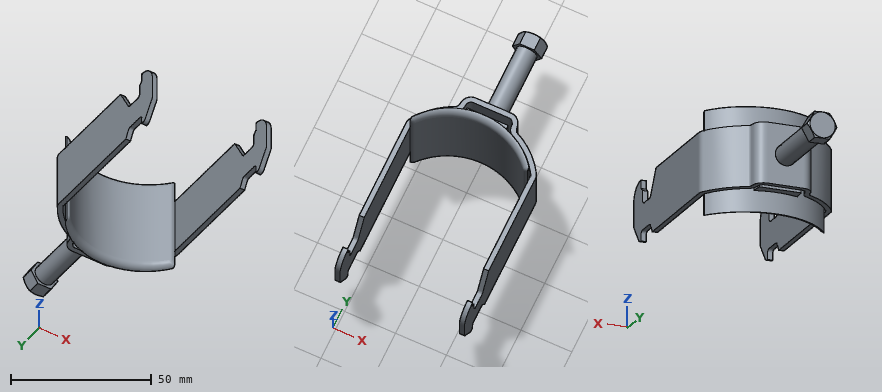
import cadquery as cq
import math

LENGTH = 113.0

STRAP_THICKNESS = 2.0
STRAP_WIDTH = 51.0
STRAP_HEIGHT = 23.2
STRAP_TOP = 79.2
HUMP_BEND_RADIUS = 2.0
FOOT_BEND_RADIUS = 3.6
LEG_BEND_RADIUS = 2.0
BOW_RADIUS = 27.2
BOW_CENTER_Y = 46.5
HUMP_HALF_WIDTH = 8.7
HUMP_LEAN = 10.0

HOOK_INNER_Y = 6.9
HOOK_NOSE_RADIUS = 6.8
NOTCH_STEP_Y = 8.2
NOTCH_STEP_Z = 7.1
NOTCH_CHAMFER = 1.2
NOTCH_FLOOR_Z = 2.0
NOTCH_RADIUS = 1.4
NOTCH_LEG_Y = 15.1
TOP_SHOULDER_Y = 20.5
BOTTOM_NOTCH_Z = -7.9
BOTTOM_NOTCH_Y = 15.0
BOTTOM_SHOULDER_Y = 17.1
BOTTOM_NOTCH_RADIUS = 1.1
HEEL_START_Z = -4.2
HEEL_END_Y = 5.2
HEEL_TIP_RADIUS = 1.8
HEEL_RADIUS = 2.3

SHANK_DIAMETER = 8.0
HEAD_HEIGHT = 5.6
HEAD_CORNERS = 11.5
HEAD_CHAMFER_WIDTH = 0.9
HEAD_CHAMFER_HEIGHT = 0.6

SADDLE_WIDTH = 46.2
SADDLE_HEIGHT = 40.0
SADDLE_CENTER_Z = 0.5
SADDLE_CROWN_Y = 71.1
SADDLE_OUTER_RADIUS = 28.8
SADDLE_THICKNESS = 2.7
SADDLE_INNER_RADIUS = 28.4
SADDLE_END_Y = 58.3
SADDLE_RIM_RADIUS = 2.6
SADDLE_END_RADIUS = 1.4

BLOCK_TOP_WIDTH = 16.2
BLOCK_BASE_WIDTH = 16.8
BLOCK_HEIGHT = 23.7
BLOCK_TOP = 74.1
BLOCK_BASE = 69.5


def prism(outline, height, center_z):
    """Extrude an XY outline along Z, centred on center_z."""
    return outline.extrude(height).translate((0, 0, center_z - height / 2))


def cylinder_z(radius, center_y, height, center_z):
    return prism(cq.Workplane("XY").center(0, center_y).circle(radius), height, center_z)


def cylinder_y(radius, start, end):
    return cq.Workplane("XZ", origin=(0, start, 0)).circle(radius).extrude(start - end)


def round_upright(solid, x, y, radius):
    """Fillet the Z-parallel edge that is nearest to (x, y)."""
    nearest = cq.selectors.NearestToPointSelector((x, y, 0))
    return solid.edges("|Z").edges(nearest).fillet(radius)


def strap_form():
    """Solid that fills the inside of the bent strap, running past the leg tips."""
    half_inside = STRAP_WIDTH / 2 - STRAP_THICKNESS
    hump_top = STRAP_TOP - STRAP_THICKNESS
    hump_base_half = HUMP_HALF_WIDTH + (hump_top - BOW_CENTER_Y) * math.tan(math.radians(HUMP_LEAN))

    channel = cq.Workplane("XY").box(2 * half_inside, 2 * hump_top, STRAP_HEIGHT)
    legs_space = cq.Workplane("XY").box(2 * half_inside, 2 * BOW_CENTER_Y, STRAP_HEIGHT)
    bow = cylinder_z(BOW_RADIUS, BOW_CENTER_Y, STRAP_HEIGHT, 0).intersect(channel)
    hump_outline = cq.Workplane("XY").polyline([
        (-hump_base_half, BOW_CENTER_Y),
        (hump_base_half, BOW_CENTER_Y),
        (HUMP_HALF_WIDTH, hump_top),
        (-HUMP_HALF_WIDTH, hump_top),
    ]).close()
    hump = prism(hump_outline, STRAP_HEIGHT, 0)

    form = bow.union(legs_space).union(hump).clean()
    leg_corner_y = BOW_CENTER_Y + math.sqrt(BOW_RADIUS**2 - half_inside**2)
    for side in (-1, 1):
        form = round_upright(form, side * half_inside, leg_corner_y, LEG_BEND_RADIUS)
        form = round_upright(form, side * HUMP_HALF_WIDTH, BOW_CENTER_Y + BOW_RADIUS, FOOT_BEND_RADIUS)
        form = round_upright(form, side * HUMP_HALF_WIDTH, hump_top, HUMP_BEND_RADIUS)
    return form


def leg_outline():
    """Side shape of the strap in the YZ plane, from the hook tip up to the hump."""
    half_height = STRAP_HEIGHT / 2
    end_y = STRAP_TOP + STRAP_THICKNESS
    points = [
        (end_y, half_height),
        (TOP_SHOULDER_Y, half_height),
        (NOTCH_LEG_Y, NOTCH_FLOOR_Z),
        (NOTCH_STEP_Y, NOTCH_FLOOR_Z),
        (NOTCH_STEP_Y, NOTCH_STEP_Z),
        (HOOK_INNER_Y, NOTCH_STEP_Z + NOTCH_CHAMFER),
        (HOOK_INNER_Y, half_height),
        (0, half_height),
        (0, HEEL_START_Z),
        (HEEL_END_Y, -half_height),
        (HOOK_INNER_Y, -half_height),
        (HOOK_INNER_Y, BOTTOM_NOTCH_Z),
        (BOTTOM_NOTCH_Y, BOTTOM_NOTCH_Z),
        (BOTTOM_SHOULDER_Y, -half_height),
        (end_y, -half_height),
    ]
    plate = (
        cq.Workplane("YZ", origin=(-STRAP_WIDTH / 2, 0, 0))
        .polyline(points).close().extrude(STRAP_WIDTH)
    )
    roundings = [
        (NOTCH_LEG_Y, NOTCH_FLOOR_Z, NOTCH_RADIUS),
        (NOTCH_STEP_Y, NOTCH_FLOOR_Z, NOTCH_RADIUS),
        (0, half_height, HOOK_NOSE_RADIUS),
        (0, HEEL_START_Z, HEEL_TIP_RADIUS),
        (HEEL_END_Y, -half_height, HEEL_RADIUS),
        (HOOK_INNER_Y, BOTTOM_NOTCH_Z, BOTTOM_NOTCH_RADIUS),
        (BOTTOM_NOTCH_Y, BOTTOM_NOTCH_Z, BOTTOM_NOTCH_RADIUS),
    ]
    for y, z, radius in roundings:
        corner = cq.selectors.NearestToPointSelector((0, y, z))
        plate = plate.edges("|X").edges(corner).fillet(radius)
    return plate


def make_strap():
    form = strap_form()
    outside = form.faces("<Z").wires().toPending().workplane(invert=True)
    outside = outside.offset2D(STRAP_THICKNESS).extrude(STRAP_HEIGHT, combine=False)
    hole = cylinder_y(SHANK_DIAMETER / 2, BLOCK_TOP, LENGTH)
    return outside.cut(form).intersect(leg_outline()).cut(hole)


def make_bolt():
    head_base = LENGTH - HEAD_HEIGHT
    head = (
        cq.Workplane("XZ", origin=(0, head_base, 0))
        .polygon(6, HEAD_CORNERS).extrude(-HEAD_HEIGHT)
    )
    chamfered_round = cylinder_y(HEAD_CORNERS / 2, head_base, LENGTH).faces(">Y").chamfer(
        HEAD_CHAMFER_HEIGHT, HEAD_CHAMFER_WIDTH
    )
    shank = cylinder_y(SHANK_DIAMETER / 2, BLOCK_TOP, head_base)
    return head.intersect(chamfered_round).union(shank)


def saddle_cylinder(radius, crown_y):
    return cylinder_z(radius, crown_y - radius, SADDLE_HEIGHT, SADDLE_CENTER_Z)


def make_saddle():
    """Curved plate with the rim of its hollow side rounded."""
    bore = saddle_cylinder(SADDLE_INNER_RADIUS, SADDLE_CROWN_Y - SADDLE_THICKNESS)
    plate = saddle_cylinder(SADDLE_OUTER_RADIUS, SADDLE_CROWN_Y).cut(bore)

    trim_depth = SADDLE_CROWN_Y - SADDLE_END_Y
    trim = cq.Workplane("XY").box(SADDLE_WIDTH, trim_depth, SADDLE_HEIGHT)
    trim = trim.translate((0, SADDLE_END_Y + trim_depth / 2, SADDLE_CENTER_Z))
    plate = plate.intersect(trim)

    plate = plate.edges(cq.selectors.RadiusNthSelector(0)).fillet(SADDLE_RIM_RADIUS)
    bore_center_y = SADDLE_CROWN_Y - SADDLE_THICKNESS - SADDLE_INNER_RADIUS
    lip_x = math.sqrt(SADDLE_INNER_RADIUS**2 - (SADDLE_END_Y - bore_center_y)**2)
    for side in (-1, 1):
        plate = round_upright(plate, side * lip_x, SADDLE_END_Y, SADDLE_END_RADIUS)
    return plate


def make_block():
    """Tapered block whose underside rests on the back of the saddle."""
    outline = cq.Workplane("XY").polyline([
        (-BLOCK_TOP_WIDTH / 2, BLOCK_TOP),
        (BLOCK_TOP_WIDTH / 2, BLOCK_TOP),
        (BLOCK_BASE_WIDTH / 2, BLOCK_BASE),
        (-BLOCK_BASE_WIDTH / 2, BLOCK_BASE),
    ]).close()
    block = prism(outline, BLOCK_HEIGHT, SADDLE_CENTER_Z)
    return block.cut(saddle_cylinder(SADDLE_OUTER_RADIUS, SADDLE_CROWN_Y))


strap = make_strap()
bolt = make_bolt()
saddle = make_saddle()
block = make_block()

result = cq.Compound.makeCompound([strap.val(), bolt.val(), saddle.val(), block.val()])